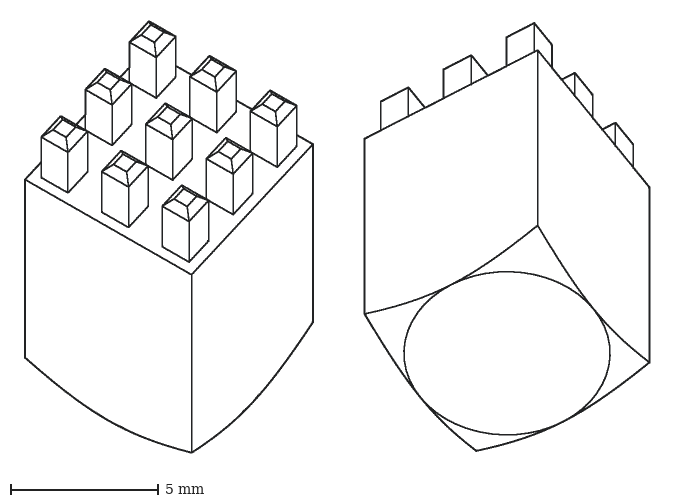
import cadquery as cq
import math

body_side = 7.0
body_height = 10.57
overall_height = 13.1

bevel_angle = 30.0

pins_per_side = 3
pin_pitch = 2.54
pin_side = 1.13
tip_side = 0.55
tip_height = 0.31
shank_height = overall_height - body_height - tip_height


def make_body():
    block = cq.Workplane("XY").rect(body_side, body_side).extrude(body_height)
    bottom_radius = body_side / 2
    outer_radius = body_side
    bevel_rise = (outer_radius - bottom_radius) * math.tan(math.radians(bevel_angle))
    envelope = (
        cq.Workplane("XZ")
        .moveTo(0, 0)
        .lineTo(bottom_radius, 0)
        .lineTo(outer_radius, bevel_rise)
        .lineTo(outer_radius, body_height)
        .lineTo(0, body_height)
        .close()
        .revolve(360, (0, 0), (0, 1))
    )
    return block.intersect(envelope)


def make_pin():
    shank = cq.Workplane("XY").rect(pin_side, pin_side).extrude(shank_height)
    tip = (
        cq.Workplane("XY")
        .workplane(offset=shank_height)
        .rect(pin_side, pin_side)
        .workplane(offset=tip_height)
        .rect(tip_side, tip_side)
        .loft(ruled=True)
    )
    return shank.union(tip)


pin = make_pin()
result = make_body()
first_pin = -pin_pitch * (pins_per_side - 1) / 2
for column in range(pins_per_side):
    for row in range(pins_per_side):
        x = first_pin + column * pin_pitch
        y = first_pin + row * pin_pitch
        result = result.union(pin.translate((x, y, body_height)))